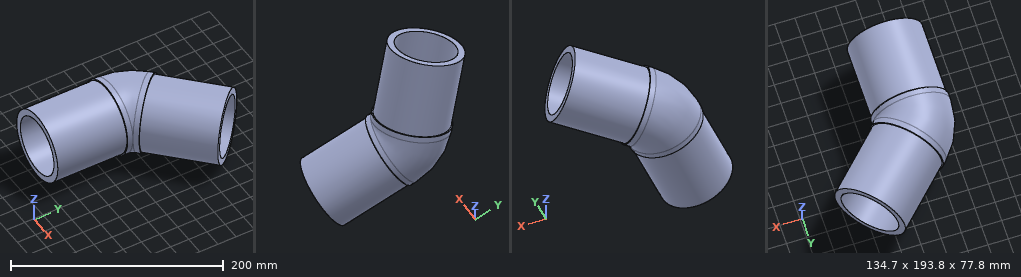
import cadquery as cq
import math

bend_angle = 45.0
centre_to_end = 98.0
pipe_diameter = 75.0
pipe_length = 76.0
body_diameter = 77.76
bore_diameter = 61.0
inner_corner_radius = 0.1

body_bend_radius = body_diameter / 2 + inner_corner_radius
bore_bend_radius = bore_diameter / 2 + inner_corner_radius

half_angle_tangent = math.tan(math.radians(bend_angle / 2))


def setback(bend_radius):
    """Distance from the crossing of the leg axes to the end of a bend."""
    return bend_radius * half_angle_tangent


corner = (0, setback(body_bend_radius), 0)
turn = math.radians(bend_angle)
first_leg = cq.Plane(origin=corner, xDir=(1, 0, 0), normal=(0, -1, 0))
second_leg = cq.Plane(origin=corner, xDir=(0, 0, 1), normal=(math.sin(turn), math.cos(turn), 0))


def make_bend(diameter, bend_radius):
    """Solid bend that joins the two leg axes."""
    return (
        cq.Workplane(first_leg)
        .workplane(offset=setback(bend_radius))
        .circle(diameter / 2)
        .revolve(bend_angle, (bend_radius, 0), (bend_radius, -1))
    )


def make_cylinder(leg, diameter, start, end):
    """Solid cylinder on a leg axis between two distances from the corner."""
    return cq.Workplane(leg).workplane(offset=start).circle(diameter / 2).extrude(end - start)


def make_outside():
    """Bend body with a collar and a plain pipe on each leg."""
    collar_end = centre_to_end - pipe_length
    outside = make_bend(body_diameter, body_bend_radius)
    for leg in (first_leg, second_leg):
        collar = make_cylinder(leg, body_diameter, setback(body_bend_radius), collar_end)
        pipe = make_cylinder(leg, pipe_diameter, collar_end, centre_to_end)
        outside = outside.union(collar).union(pipe)
    return outside


def make_bore():
    """Through passage, with its own tighter bend."""
    bore = make_bend(bore_diameter, bore_bend_radius)
    for leg in (first_leg, second_leg):
        bore = bore.union(make_cylinder(leg, bore_diameter, setback(bore_bend_radius), centre_to_end))
    return bore


result = make_outside().cut(make_bore())